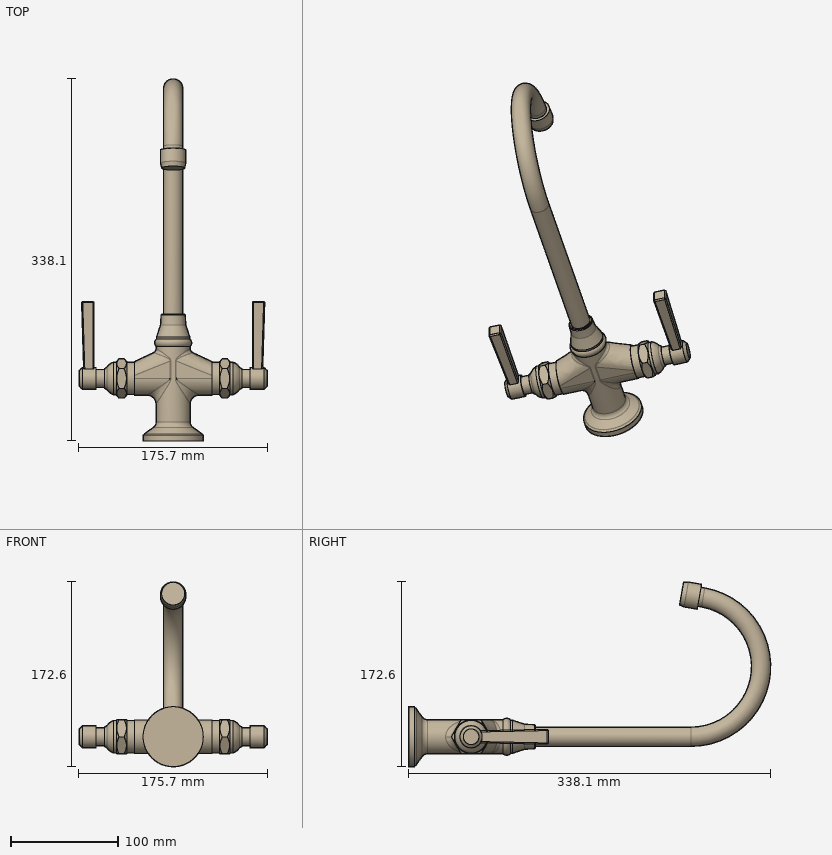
import cadquery as cq
import math

overall_width = 175.67
overall_length = 338.07
arm_y = 58.4

body_radius = 16.0
flange_radius = 28.1
flange_rim = 5.4
flange_bevel = 1.8
flange_cone_end = 12.7
flange_cone_slope = 54.0
flange_neck_end = 17.8

arm_radius = 15.8
hub_half_width = 36.0
crotch_fillet = 8.0
shoulder_outer_rise = 2.9
shoulder_mid_rise = 17.4
shoulder_mid_half_height = 15.4
shoulder_fillet = 4.0

sleeve_radius = 15.2
nut_start = 43.3
nut_end = 53.0
nut_flats = 32.0
nut_bevel = 2.5
nut_end_radius = 15.6

bonnet_rim_end = 55.6
bonnet_rim_radius = 15.3
bonnet_bulge = 0.45
bonnet_cone_end = 61.7
bonnet_cone_end_radius = 10.7
bonnet_lip_end = 64.0
bonnet_lip_radius = 9.2
stem_radius = 8.5
knob_start = 71.9
knob_radius = 10.3
knob_bevel = 3.0

lever_inner_x = 73.8
lever_root_width = 9.6
lever_tip_width = 11.8
lever_root_height = 11.0
lever_tip_height = 14.0
lever_tip_y = 130.4
lever_bevel = 1.2

ring_start = 88.0
ring_end = 95.2
ring_middle = (ring_start + ring_end) / 2
ring_radius = 17.4
collar_foot_radius = 15.6
collar_flare_start = 97.0
collar_flare_end = 108.3
collar_radius = 11.9
collar_end = 118.3
collar_tip_radius = 11.4
collar_bevel = 0.8

tube_radius = 9.1
bend_radius = 65.5
bend_angle = 170.0
bend_center_y = overall_length - tube_radius - bend_radius

aerator_neck = 3.5
aerator_radius = 11.9
aerator_length = 17.0
aerator_taper = 4.5
aerator_tip_radius = 10.8


def revolve_about_y(profile):
    """Revolve a radius/Y profile in the XY plane about the Y axis."""
    return profile.close().revolve(360, (0, 0, 0), (0, 1, 0))


def mirrored(solid):
    """Join a solid on the +X side with its copy on the -X side."""
    return solid.union(solid.mirror("YZ"))


def make_body():
    """Round base flange with a conical top and a neck curving into the inlet body."""
    slope = math.radians(flange_cone_slope)
    neck_radius = (flange_neck_end - flange_cone_end) / math.sin(slope)
    cone_end_radius = body_radius + neck_radius * (1 - math.cos(slope))
    profile = (
        cq.Workplane("XY")
        .lineTo(flange_radius, 0)
        .lineTo(flange_radius, flange_rim)
        .lineTo(flange_radius - flange_bevel, flange_rim + flange_bevel)
        .lineTo(cone_end_radius, flange_cone_end)
        .radiusArc((body_radius, flange_neck_end), neck_radius)
        .lineTo(body_radius, ring_middle)
        .lineTo(0, ring_middle)
    )
    return revolve_about_y(profile)


def make_shoulders():
    """Sloping oval shoulders with flat webs filling the space down to the arms."""
    shoulder = (
        cq.Workplane("YZ")
        .center(arm_y + shoulder_mid_rise, 0)
        .ellipse(shoulder_mid_half_height, arm_radius)
        .workplane(offset=hub_half_width)
        .center(shoulder_outer_rise - shoulder_mid_rise, 0)
        .ellipse(arm_radius - shoulder_outer_rise, arm_radius)
        .loft(ruled=True)
    )
    web = (
        cq.Workplane("XY")
        .moveTo(0, arm_y)
        .lineTo(hub_half_width, arm_y)
        .lineTo(hub_half_width, arm_y + shoulder_outer_rise)
        .lineTo(0, arm_y + shoulder_mid_rise)
        .close()
        .extrude(arm_radius, both=True)
    )
    return mirrored(shoulder.union(web))


def make_hub():
    """Inlet body crossed by the valve arms, with sloping shoulders above the arms."""
    arms = (
        cq.Workplane("YZ")
        .center(arm_y, 0)
        .circle(arm_radius)
        .extrude(hub_half_width, both=True)
    )
    hub = make_body().union(arms)
    crotch = hub.edges("not %CIRCLE").edges("not %LINE")
    hub = crotch.fillet(crotch_fillet).union(make_shoulders())
    around_body = cq.selectors.BoxSelector(
        (-body_radius, arm_y + arm_radius, -body_radius),
        (body_radius, ring_start, body_radius),
    )
    return hub.edges(around_body).edges("not %LINE").fillet(shoulder_fillet)


def make_nut():
    """Hexagonal nut with both ends turned to a cone, plus the sleeve behind it."""
    length = nut_end - nut_start
    corner_radius = nut_flats / math.sqrt(3)
    hexagon = cq.Workplane("YZ").polygon(6, 2 * corner_radius).extrude(length)
    turned = (
        cq.Workplane("XY")
        .lineTo(0, nut_end_radius)
        .lineTo(nut_bevel, corner_radius)
        .lineTo(length - nut_bevel, corner_radius)
        .lineTo(length, nut_end_radius)
        .lineTo(length, 0)
        .close()
        .revolve(360, (0, 0, 0), (1, 0, 0))
    )
    nut = hexagon.intersect(turned).translate((nut_start, arm_y, 0))
    sleeve = cq.Workplane("YZ").circle(sleeve_radius).extrude(nut_end).translate((0, arm_y, 0))
    return nut.union(sleeve)


def make_valve_trim():
    """Bonnet, stem and knob turned about the arm axis."""
    knob_end = overall_width / 2
    bulge_x = (bonnet_rim_end + bonnet_cone_end) / 2 + bonnet_bulge
    bulge_radius = (bonnet_rim_radius + bonnet_cone_end_radius) / 2 + bonnet_bulge
    return (
        cq.Workplane("XY")
        .moveTo(nut_start, 0)
        .lineTo(nut_start, bonnet_rim_radius)
        .lineTo(bonnet_rim_end, bonnet_rim_radius)
        .threePointArc((bulge_x, bulge_radius), (bonnet_cone_end, bonnet_cone_end_radius))
        .lineTo(bonnet_lip_end, bonnet_lip_radius)
        .lineTo(bonnet_lip_end, stem_radius)
        .lineTo(knob_start, stem_radius)
        .lineTo(knob_start, knob_radius)
        .lineTo(knob_end - knob_bevel, knob_radius)
        .lineTo(knob_end, knob_radius - knob_bevel)
        .lineTo(knob_end, 0)
        .close()
        .revolve(360, (0, 0, 0), (1, 0, 0))
        .translate((0, arm_y, 0))
    )


def make_lever():
    """Bevelled flat lever, widening from the knob to its tip."""
    length = lever_tip_y - arm_y
    lever = (
        cq.Workplane("XZ", origin=(lever_inner_x, arm_y, 0))
        .center(lever_root_width / 2, 0)
        .rect(lever_root_width, lever_root_height)
        .workplane(offset=-length)
        .center((lever_tip_width - lever_root_width) / 2, 0)
        .rect(lever_tip_width, lever_tip_height)
        .loft(ruled=True)
    )
    return lever.edges("not <Y").chamfer(lever_bevel)


def make_collar():
    """Rounded ring and flared collar holding the spout tube."""
    profile = (
        cq.Workplane("XY")
        .moveTo(0, ring_start)
        .lineTo(collar_foot_radius, ring_start)
        .threePointArc((ring_radius, ring_middle), (collar_foot_radius, ring_end))
        .lineTo(collar_foot_radius, collar_flare_start)
        .lineTo(collar_radius, collar_flare_end)
        .lineTo(collar_tip_radius, collar_end - collar_bevel)
        .lineTo(collar_tip_radius - collar_bevel, collar_end)
        .lineTo(0, collar_end)
    )
    return revolve_about_y(profile)


def bend_point(angle):
    """Y and Z of the tube axis at an angle (degrees) along the bend."""
    turn = math.radians(angle)
    return (bend_center_y + bend_radius * math.sin(turn), bend_radius * (1 - math.cos(turn)))


def make_spout():
    """Straight tube leading into the hooked bend."""
    path = (
        cq.Workplane("YZ")
        .moveTo(ring_start, 0)
        .lineTo(bend_center_y, 0)
        .threePointArc(bend_point(bend_angle / 2), bend_point(bend_angle))
    )
    return cq.Workplane("XZ", origin=(0, ring_start, 0)).circle(tube_radius).sweep(path)


def make_aerator():
    """Tapered aerator turned about the axis at the spout tip."""
    tip_y, tip_z = bend_point(bend_angle)
    turn = math.radians(bend_angle)
    barrel_end = aerator_neck + aerator_length
    profile = (
        cq.Workplane("XZ")
        .lineTo(tube_radius, 0)
        .lineTo(tube_radius, aerator_neck)
        .lineTo(aerator_radius, aerator_neck)
        .lineTo(aerator_radius, barrel_end - aerator_taper)
        .lineTo(aerator_tip_radius, barrel_end)
        .lineTo(0, barrel_end)
        .close()
        .revolve(360, (0, 0, 0), (0, 1, 0))
    )
    seat = cq.Plane(
        origin=(0, tip_y, tip_z), xDir=(1, 0, 0), normal=(0, math.cos(turn), math.sin(turn))
    )
    return cq.Workplane(profile.val().moved(cq.Location(seat)))


valve = make_nut().union(make_valve_trim()).union(make_lever())
result = (
    make_hub()
    .union(mirrored(valve))
    .union(make_collar())
    .union(make_spout())
    .union(make_aerator())
)